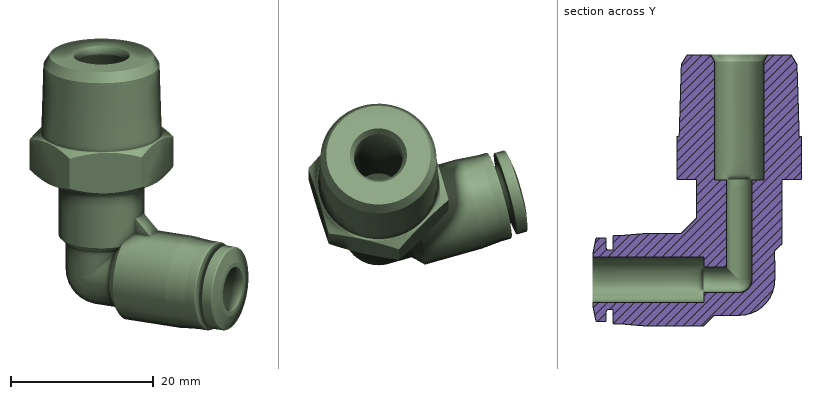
import cadquery as cq
import math


top_z = 31.5
thread_chamfer_z = 30.15
hex_top_z = 20.1
hex_bottom_z = 14.02
neck_bottom_z = 5.0
thread_tip_radius = 7.3
thread_small_radius = 8.15
thread_large_radius = 8.45
neck_radius = 12.0 / 2
elbow_radius = 10.05 / 2
neck_cone_bottom_z = neck_bottom_z - (neck_radius - elbow_radius)

hex_across_flats = 17.48
hex_corner_radius = hex_across_flats / math.sqrt(3)
hex_turn = 30
hex_chamfer_angle = 30
hex_chamfer_radius = hex_across_flats / 2 - 0.08
hex_chamfer_drop = (hex_corner_radius - hex_chamfer_radius) * math.tan(math.radians(hex_chamfer_angle))

body_radius = 13.0 / 2
body_tip_radius = 12.5 / 2
body_edge_round = 0.2
body_start_x = 4.98
cone_start_x = body_start_x - (body_radius - elbow_radius)
taper_start_x = 13.22
taper_end_x = 16.2
body_end_x = 17.67
groove_radius = 8.35 / 2
groove_round = 0.3
collar_start_x = 18.6
collar_face_x = 20.1
end_x = 20.5
collar_radius = 11.8 / 2
collar_edge_round = 0.23
collar_tip_radius = 3.8

rib_thickness = 2.65
rib_top_z = 8.63
rib_end_x = 8.3

inlet_radius = 6.85 / 2
inlet_mouth_radius = 7.98 / 2
inlet_mouth_angle = 30
inlet_mouth_depth = (inlet_mouth_radius - inlet_radius) / math.tan(math.radians(inlet_mouth_angle))
passage_radius = 3.5 / 2
tube_socket_radius = 6.35 / 2


def turned_about_z(profile):
    """Solid of revolution about Z from (radius, height) points."""
    outline = [(0, profile[0][1])] + profile + [(0, profile[-1][1])]
    return cq.Workplane("XZ").polyline(outline).close().revolve(360, (0, 0), (0, 1))


def turned_about_x(profile):
    """Solid of revolution about X from (position, radius) points."""
    outline = [(profile[0][0], 0)] + profile + [(profile[-1][0], 0)]
    return cq.Workplane("XZ").polyline(outline).close().revolve(360, (0, 0), (1, 0))


def hexagon():
    """Hexagon with its corners chamfered at both ends."""
    prism = (
        cq.Workplane("XY", origin=(0, 0, hex_bottom_z))
        .polygon(6, 2 * hex_corner_radius)
        .extrude(hex_top_z - hex_bottom_z)
        .rotate((0, 0, 0), (0, 0, 1), hex_turn)
    )
    corner_limit = turned_about_z([
        (hex_chamfer_radius, hex_bottom_z),
        (hex_corner_radius, hex_bottom_z + hex_chamfer_drop),
        (hex_corner_radius, hex_top_z - hex_chamfer_drop),
        (hex_chamfer_radius, hex_top_z),
    ])
    return prism.intersect(corner_limit)


def rib():
    """Triangular web between the neck and the outlet body."""
    return (
        cq.Workplane("XZ")
        .polyline([
            (0, 0),
            (rib_end_x, 0),
            (rib_end_x, body_radius * math.cos(math.asin(rib_thickness / 2 / body_radius))),
            (neck_radius, rib_top_z),
            (0, rib_top_z),
        ])
        .close()
        .extrude(rib_thickness / 2, both=True)
    )


stem = turned_about_z([
    (elbow_radius, 0),
    (elbow_radius, neck_cone_bottom_z),
    (neck_radius, neck_bottom_z),
    (neck_radius, hex_top_z),
    (thread_large_radius, hex_top_z),
    (thread_small_radius, thread_chamfer_z),
    (thread_tip_radius, top_z),
])

outlet_body = turned_about_x([
    (0, elbow_radius),
    (cone_start_x, elbow_radius),
    (body_start_x, body_radius),
    (taper_start_x, body_radius),
    (taper_end_x, body_tip_radius),
    (body_end_x, body_tip_radius),
]).edges(">X").fillet(body_edge_round)


def release_collar():
    """Collar with a rounded rim, a shallow conical face and a filleted groove behind it."""
    rim_round_start_x = collar_face_x - collar_edge_round
    rim_round_end_radius = collar_radius - collar_edge_round
    groove_round_start_x = collar_start_x - groove_round
    return (
        cq.Workplane("XZ")
        .moveTo(0, 0)
        .lineTo(0, groove_radius)
        .lineTo(groove_round_start_x, groove_radius)
        .radiusArc((collar_start_x, groove_radius + groove_round), -groove_round)
        .lineTo(collar_start_x, collar_radius)
        .lineTo(rim_round_start_x, collar_radius)
        .radiusArc((collar_face_x, rim_round_end_radius), collar_edge_round)
        .lineTo(end_x, collar_tip_radius)
        .lineTo(end_x, 0)
        .close()
        .revolve(360, (0, 0), (1, 0))
    )


elbow_corner = cq.Workplane("XY").sphere(elbow_radius)

inlet_passage = turned_about_z([
    (passage_radius, 0),
    (passage_radius, hex_bottom_z),
    (inlet_radius, hex_bottom_z),
    (inlet_radius, top_z - inlet_mouth_depth),
    (inlet_mouth_radius, top_z),
])

outlet_passage = turned_about_x([
    (0, passage_radius),
    (body_start_x, passage_radius),
    (body_start_x, tube_socket_radius),
    (end_x, tube_socket_radius),
])

passage_corner = cq.Workplane("XY").sphere(passage_radius)

result = (
    stem.union(hexagon())
    .union(outlet_body)
    .union(release_collar())
    .union(elbow_corner)
    .union(rib())
    .cut(inlet_passage)
    .cut(outlet_passage)
    .cut(passage_corner)
)